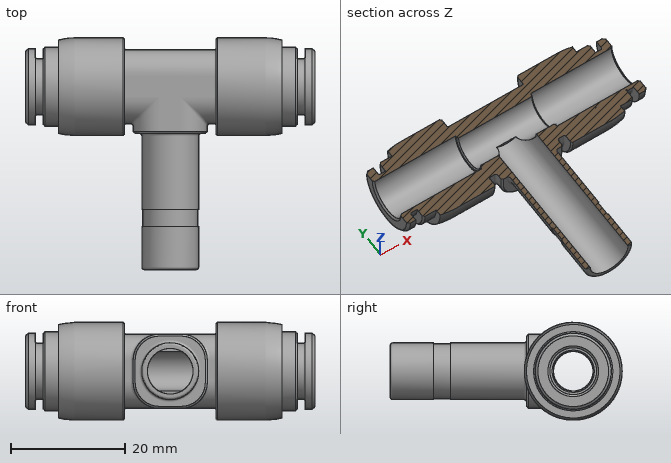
import cadquery as cq
import math

body_width = 13.0
body_half_width = body_width / 2
body_corner_radius = 4.55
body_half_length = 8.0
branch_length = 8.2
branch_end_chamfer = 0.35
branch_root_fillet = 0.45
sleeve_root_fillet = 0.2

sleeve_radius = 8.6
sleeve_edge_chamfer = 0.3
sleeve_straight_end = 16.75
sleeve_end = 19.6
sleeve_end_radius = 8.2
step_radius = 6.95
step_chamfer = 0.35
step_end = 22.3

run_half_length = 25.4
neck_radius = 4.95
neck_fillet = 0.25
collar_radius = 6.7
collar_chamfer = 0.5
collar_thickness = 1.75

stem_radius = 5.0
stem_end = 32.1
stem_base_fillet = 0.45
stem_end_round = 0.45
stem_bore_radius = 4.0
groove_depth = 0.15
groove_start = 21.5
groove_end = 24.55

run_bore_radius = 3.45
run_bore_chamfer = 0.25
tube_socket_radius = 4.1
tube_socket_chamfer = 0.35
tube_stop = body_half_length

ARC_MIDDLE_INSET = 1 - math.sqrt(0.5)


def on_both_ends(half):
    """A +X half together with its mirror image on the -X side."""
    return half.union(half.mirror("YZ"))


def make_bar(plane, length, long_edges, both_ways=False):
    """Square bar extruded along the normal of the plane, with its long edges rounded."""
    bar = cq.Workplane(plane).rect(body_width, body_width).extrude(length, both=both_ways)
    return bar.edges(long_edges).fillet(body_corner_radius)


def make_tee_body():
    """Run and branch bars meeting in mitres, with the inner corners blended."""
    run = make_bar("YZ", body_half_length, "|X", both_ways=True)
    branch = make_bar("XZ", branch_length, "|Y").faces("<Y").edges().chamfer(branch_end_chamfer)
    inner_corners = cq.selectors.BoxSelector(
        (-body_half_width - branch_root_fillet, -body_half_width - branch_root_fillet, -body_half_width),
        (body_half_width + branch_root_fillet, -body_half_width + branch_root_fillet, body_half_width),
    )
    return run.union(branch).edges("|Z").edges(inner_corners).fillet(branch_root_fillet)


def make_run_end():
    """Sleeve, step, neck and collar on the +X end, turned about the X axis."""
    taper_length = sleeve_end - sleeve_straight_end
    taper_drop = sleeve_radius - sleeve_end_radius
    taper_arc_radius = (taper_length**2 + taper_drop**2) / (2 * taper_drop)
    taper_mid_x = sleeve_straight_end + taper_length / 2
    taper_mid_radius = (
        sleeve_radius - taper_arc_radius + math.sqrt(taper_arc_radius**2 - (taper_length / 2) ** 2)
    )
    collar_start = run_half_length - collar_thickness
    fillet_inset = neck_fillet * ARC_MIDDLE_INSET
    profile = (
        cq.Workplane("XY")
        .moveTo(body_half_length, 0)
        .lineTo(body_half_length, sleeve_radius - sleeve_edge_chamfer)
        .lineTo(body_half_length + sleeve_edge_chamfer, sleeve_radius)
        .lineTo(sleeve_straight_end, sleeve_radius)
        .threePointArc((taper_mid_x, taper_mid_radius), (sleeve_end, sleeve_end_radius))
        .lineTo(sleeve_end, step_radius)
        .lineTo(step_end - step_chamfer, step_radius)
        .lineTo(step_end, step_radius - step_chamfer)
        .lineTo(step_end, neck_radius)
        .lineTo(collar_start - neck_fillet, neck_radius)
        .threePointArc(
            (collar_start - fillet_inset, neck_radius + fillet_inset),
            (collar_start, neck_radius + neck_fillet),
        )
        .lineTo(collar_start, collar_radius)
        .lineTo(run_half_length - collar_chamfer, collar_radius)
        .lineTo(run_half_length, collar_radius - collar_chamfer)
        .lineTo(run_half_length, 0)
        .close()
    )
    return profile.revolve(360, (0, 0, 0), (1, 0, 0))


def make_stem():
    """Grooved stem turned about the Y axis, flaring into the end of the branch."""
    groove_radius = stem_radius - groove_depth
    base_inset = stem_base_fillet * ARC_MIDDLE_INSET
    end_inset = stem_end_round * ARC_MIDDLE_INSET
    profile = (
        cq.Workplane("XY")
        .moveTo(0, 0)
        .lineTo(0, -stem_end)
        .lineTo(stem_radius - stem_end_round, -stem_end)
        .threePointArc(
            (stem_radius - end_inset, -stem_end + end_inset),
            (stem_radius, -stem_end + stem_end_round),
        )
        .lineTo(stem_radius, -groove_end)
        .lineTo(groove_radius, -groove_end)
        .lineTo(groove_radius, -groove_start)
        .lineTo(stem_radius, -groove_start)
        .lineTo(stem_radius, -branch_length - stem_base_fillet)
        .threePointArc(
            (stem_radius + base_inset, -branch_length - base_inset),
            (stem_radius + stem_base_fillet, -branch_length),
        )
        .lineTo(stem_radius, -branch_length)
        .lineTo(stem_radius, 0)
        .close()
    )
    return profile.revolve(360, (0, 0, 0), (0, 1, 0))


def make_run_passage():
    """Half of the run passage: bore, tube stop and tube socket toward +X."""
    profile = (
        cq.Workplane("XY")
        .lineTo(0, run_bore_radius)
        .lineTo(tube_stop - run_bore_chamfer, run_bore_radius)
        .lineTo(tube_stop, run_bore_radius + run_bore_chamfer)
        .lineTo(tube_stop, tube_socket_radius)
        .lineTo(run_half_length - tube_socket_chamfer, tube_socket_radius)
        .lineTo(run_half_length, tube_socket_radius + tube_socket_chamfer)
        .lineTo(run_half_length, 0)
        .close()
    )
    return profile.revolve(360, (0, 0, 0), (1, 0, 0))


def make_stem_passage():
    """Stem bore, running from the stem tip to the middle of the run."""
    return cq.Workplane("XZ").circle(stem_bore_radius).extrude(stem_end)


def blend_into_sleeves(fitting):
    """Fillet the outline of the run bar where it meets the inner face of each sleeve."""
    margin = sleeve_root_fillet / 2
    reach = body_half_width + margin
    for joint in (-body_half_length, body_half_length):
        bar_outline = cq.selectors.BoxSelector(
            (joint - margin, -reach, -reach),
            (joint + margin, reach, reach),
            boundingbox=True,
        )
        fitting = fitting.edges(bar_outline).fillet(sleeve_root_fillet)
    return fitting


def make_tee():
    """Complete fitting with its passages opened."""
    fitting = make_tee_body().union(on_both_ends(make_run_end()))
    fitting = blend_into_sleeves(fitting).union(make_stem())
    return fitting.cut(on_both_ends(make_run_passage())).cut(make_stem_passage())


result = make_tee()